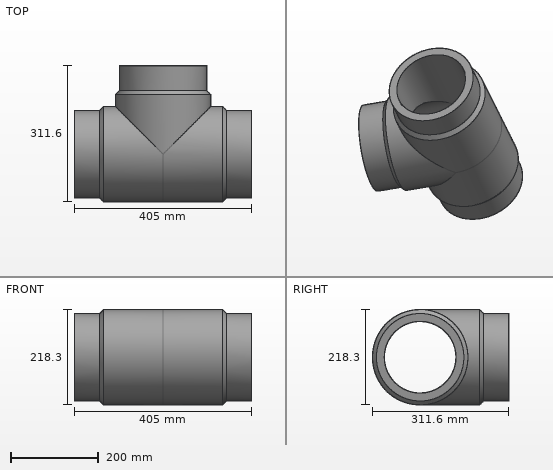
import cadquery as cq

run_length = 405.0
branch_reach = run_length / 2
body_diameter = 218.3
spigot_diameter = 200.0
bore_diameter = 163.2
spigot_length = 57.5

body_radius = body_diameter / 2
spigot_radius = spigot_diameter / 2
bore_radius = bore_diameter / 2
shoulder = body_radius - spigot_radius


def arm(reach):
    """Solid of revolution about +X, from the tee centre to one open end."""
    shoulder_foot = reach - spigot_length
    return (
        cq.Workplane("XY")
        .moveTo(0, 0)
        .lineTo(0, body_radius)
        .lineTo(shoulder_foot - shoulder, body_radius)
        .lineTo(shoulder_foot, spigot_radius)
        .lineTo(reach, spigot_radius)
        .lineTo(reach, 0)
        .close()
        .revolve(360, (0, 0, 0), (1, 0, 0))
    )


right_arm = arm(run_length / 2)
left_arm = right_arm.mirror("YZ")
branch = arm(branch_reach).rotate((0, 0, 0), (0, 0, 1), 90)
outer = right_arm.union(left_arm).union(branch).clean()

run_bore = cq.Workplane("YZ").circle(bore_radius).extrude(run_length / 2, both=True)
branch_bore = cq.Workplane("XZ").circle(bore_radius).extrude(-branch_reach)

result = outer.cut(run_bore).cut(branch_bore)